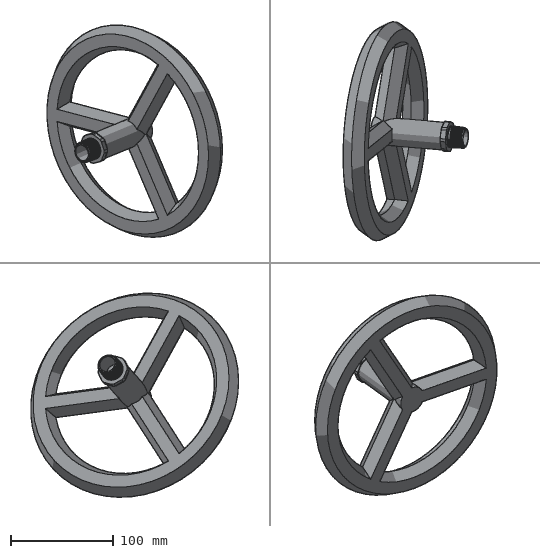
import cadquery as cq
import math


wheel_diameter = 215.5
hex_thickness = 22.0
hex_corner_radius = hex_thickness / math.sqrt(3)
rim_radius = wheel_diameter / 2 - hex_corner_radius
spoke_angles = (60, 180, 300)

overall_depth = 93.5
stem_diameter = 27.4
stem_reach = 50.0
collar_diameter = 30.0
collar_across_flats = 28.6
collar_thickness = 5.5

neck_diameter = 21.5
neck_length = 0.9
bore_diameter = 15.7
thread_depth = 1.0
thread_pitch = 1.8
tooth_root_width = 1.5
tooth_crest_width = 0.2
tooth_overlap = 0.6
taper_slope = 1 / 32
tip_chamfer = 1.0

wheel_face = hex_thickness / 2
nipple_length = overall_depth - hex_thickness - stem_reach - collar_thickness
thread_length = nipple_length - neck_length
bore_depth = nipple_length + collar_thickness
tip_crest_radius = neck_diameter / 2 - taper_slope * thread_length
tip_core_radius = tip_crest_radius - thread_depth


def hex_points(center):
    """Hexagon with flats facing the second axis and corners on the first."""
    corners = [math.radians(60 * i) for i in range(6)]
    return [
        (center + hex_corner_radius * math.cos(a), hex_corner_radius * math.sin(a))
        for a in corners
    ]


def make_rim():
    """Hexagon turned about the wheel axis, Y."""
    section = cq.Workplane("XY").polyline(hex_points(rim_radius)).close()
    return section.revolve(360, (0, 0), (0, 1))


def make_spoke(angle):
    """Hexagonal bar from the wheel axis to the middle of the rim section."""
    spoke = cq.Workplane("YZ").transformed(rotate=(0, 0, 90))
    spoke = spoke.polyline(hex_points(0)).close().extrude(rim_radius)
    return spoke.rotate((0, 0, 0), (0, 1, 0), -angle)


def make_stem():
    """Round stem through the full wheel thickness, up to the collar."""
    stem = cq.Workplane("XZ", origin=(0, wheel_face, 0))
    return stem.circle(stem_diameter / 2).extrude(hex_thickness + stem_reach)


def make_collar():
    """Octagon with corners on X and Z, rounded by a cylinder."""
    plane = cq.Workplane("XZ", origin=(0, -wheel_face - stem_reach, 0))
    octagon_diameter = collar_across_flats / math.cos(math.pi / 8)
    octagon = plane.polygon(8, octagon_diameter).extrude(collar_thickness)
    return octagon.intersect(plane.circle(collar_diameter / 2).extrude(collar_thickness))


def make_thread():
    """Right-handed tapered tooth, starting at the tip and wound about Z."""
    root_radius = tip_core_radius - tooth_overlap
    section = [
        (root_radius, 0),
        (tip_crest_radius, (tooth_root_width - tooth_crest_width) / 2),
        (tip_crest_radius, (tooth_root_width + tooth_crest_width) / 2),
        (root_radius, tooth_root_width),
    ]
    taper_angle = math.degrees(math.atan(taper_slope))
    helix_height = thread_length - tooth_root_width
    helices = [
        cq.Wire.makeHelix(thread_pitch, helix_height, radius, angle=taper_angle)
        .translate(cq.Vector(0, 0, height))
        for radius, height in section
    ]
    shells = [
        cq.Face.makeRuledSurface(helices[index - 1], helix)
        for index, helix in enumerate(helices)
    ]
    for corners in ([h.startPoint() for h in helices], [h.endPoint() for h in helices]):
        shells.append(cq.Face.makeFromWires(cq.Wire.makePolygon(corners, close=True)))
    faces = [face for shell in shells for face in shell.Faces()]
    return cq.Workplane(cq.Solid.makeSolid(cq.Shell.makeShell(faces)))


def make_nipple():
    """Tapered thread with a chamfered tip and a plain neck, built along Z and turned onto Y."""
    neck_radius = neck_diameter / 2
    core = cq.Workplane("XZ").polyline(
        [
            (0, 0),
            (tip_core_radius, 0),
            (neck_radius - thread_depth, thread_length),
            (neck_radius, thread_length),
            (neck_radius, nipple_length),
            (0, nipple_length),
        ]
    ).close().revolve(360, (0, 0), (0, 1))
    envelope = cq.Workplane("XZ").polyline(
        [
            (0, 0),
            (tip_core_radius, 0),
            (tip_core_radius + tip_chamfer, tip_chamfer),
            (neck_radius + tip_chamfer, nipple_length),
            (0, nipple_length),
        ]
    ).close().revolve(360, (0, 0), (0, 1))
    nipple = core.union(make_thread()).intersect(envelope)
    nipple = nipple.rotate((0, 0, 0), (1, 0, 0), -90)
    return nipple.translate((0, wheel_face - overall_depth, 0))


def make_bore():
    """Blind hole from the tip through the nipple and collar."""
    plane = cq.Workplane("XZ", origin=(0, wheel_face - overall_depth + bore_depth, 0))
    return plane.circle(bore_diameter / 2).extrude(bore_depth)


result = make_rim()
for spoke_angle in spoke_angles:
    result = result.union(make_spoke(spoke_angle))
result = result.union(make_stem()).union(make_collar()).union(make_nipple()).cut(make_bore())